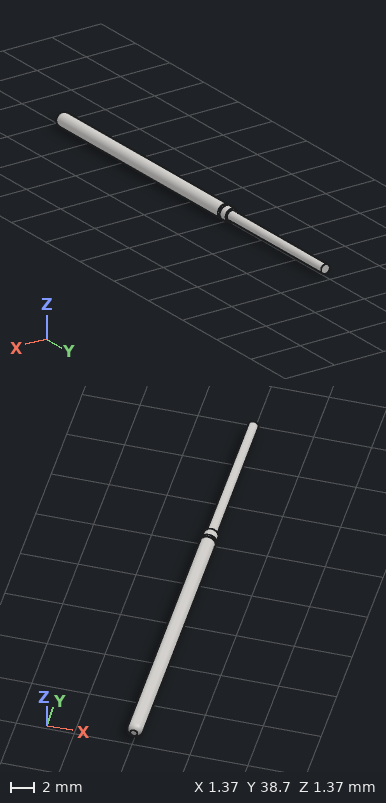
import cadquery as cq

total_length = 38.7
body_length = 25.0
body_radius = 1.37 / 2

nose_length = 0.5
nose_flat_radius = 0.31

shoulder_length = 0.35
shoulder_drop = 0.055

groove_center = 24.08
groove_width = 0.24
groove_depth = 0.1

stem_root_radius = 0.473
tip_radius = 0.45
tip_length = 2.0

tip_start = total_length - tip_length
shoulder_start = body_length - shoulder_length
shoulder_radius = body_radius - shoulder_drop
groove_front = groove_center - groove_width / 2
groove_rear = groove_center + groove_width / 2
groove_floor_radius = body_radius - groove_depth
nose_drop = body_radius - nose_flat_radius
nose_arc_radius = (nose_length**2 + nose_drop**2) / (2 * nose_drop)


def make_pin():
    """Revolve the half outline, given as (Y, Z) with Z as the radius, about the Y axis."""
    outline = (
        cq.Workplane("YZ")
        .lineTo(0, nose_flat_radius)
        .radiusArc((nose_length, body_radius), nose_arc_radius)
        .lineTo(groove_front, body_radius)
        .threePointArc((groove_center, groove_floor_radius), (groove_rear, body_radius))
        .lineTo(shoulder_start, body_radius)
        .lineTo(body_length, shoulder_radius)
        .lineTo(body_length, stem_root_radius)
        .lineTo(tip_start, tip_radius)
        .lineTo(total_length, tip_radius)
        .lineTo(total_length, 0)
        .close()
    )
    return outline.revolve(360, (0, 0, 0), (1, 0, 0))


result = make_pin()